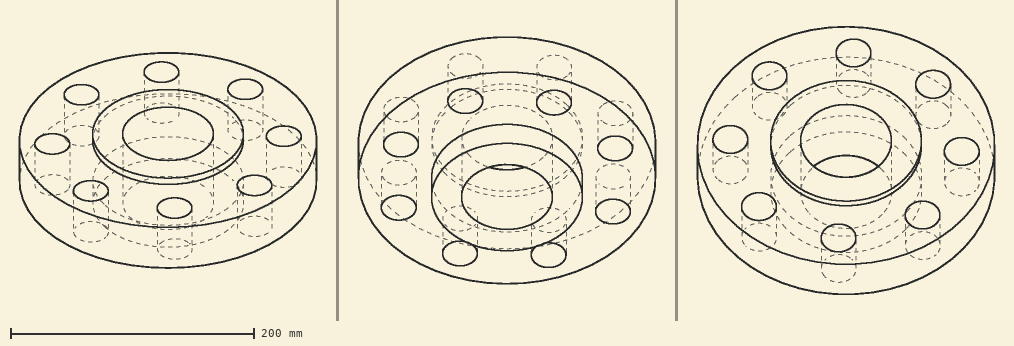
import cadquery as cq

flange_diameter = 244.35
flange_thickness = 41.3
overall_height = 69.85

raised_face_height = 6.35
hub_diameter = 124.0
hub_height = overall_height - flange_thickness - raised_face_height

bore_diameter = 74.7

bolt_count = 8
bolt_hole_diameter = 28.6
bolt_circle_diameter = 190.5
bolt_start_angle = 180 / bolt_count


def make_disc(diameter, height, base_z):
    """Solid disc on the Z axis, standing on the plane z = base_z."""
    return cq.Workplane("XY").workplane(offset=base_z).circle(diameter / 2).extrude(height)


def make_body():
    """Hub and raised face as one cylinder, with the flange ring around it."""
    core = make_disc(hub_diameter, overall_height, 0)
    flange = make_disc(flange_diameter, flange_thickness, hub_height)
    return core.union(flange)


def make_bolt_holes():
    """Full-height cutters for the bolt circle."""
    return (
        cq.Workplane("XY")
        .polarArray(bolt_circle_diameter / 2, bolt_start_angle, 360, bolt_count)
        .circle(bolt_hole_diameter / 2)
        .extrude(overall_height)
    )


bore = make_disc(bore_diameter, overall_height, 0)

result = make_body().cut(bore).cut(make_bolt_holes())